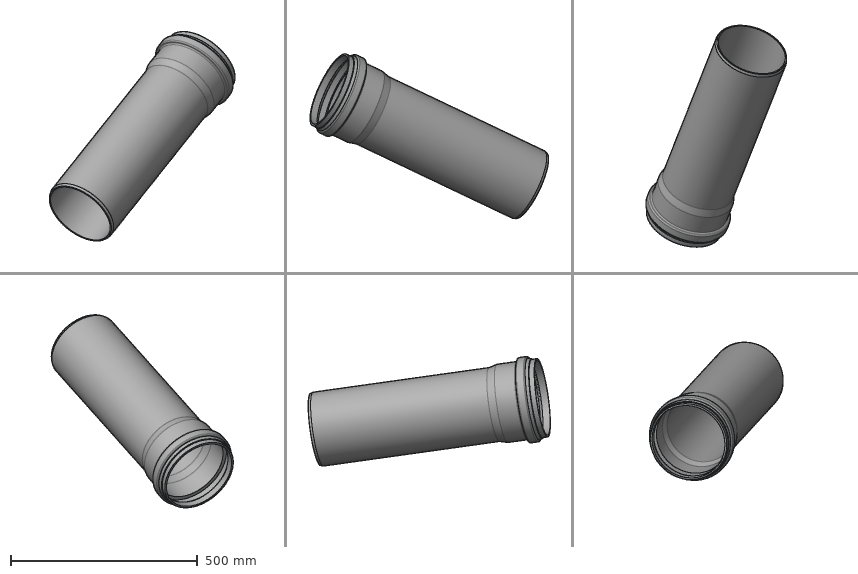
import cadquery as cq

length = 620.0
pipe_radius = 200.0 / 2
bore_radius = 188.0 / 2
socket_radius = 212.0 / 2
socket_bore_radius = 201.5 / 2
ring_radius = 231.0 / 2
groove_radius = 222.0 / 2

chamfer_length = 7.5
chamfer_depth = 2.5

taper_start = length - 131.0
taper_end = length - 108.5
ring_base = length - 50.0
ring_top = length - 23.5
shoulder_end = length - 15.0
lip_start = length - 13.5

ring_round = 4.0
shoulder_radius = 216.0 / 2
shoulder_base_radius = 221.0 / 2
groove_wall = ring_radius - groove_radius
groove_start = ring_base + groove_wall
groove_end = ring_top - groove_wall
groove_taper_end = shoulder_end - groove_wall

arc_near = 1 - 0.5 ** 0.5
arc_far = 0.5 ** 0.5


def outer_body():
    """Solid of revolution bounded by the outside of the pipe and socket."""
    inner_round = ring_radius - ring_round
    neck_radius = socket_radius + ring_round
    neck_start = ring_base - ring_round
    profile = (
        cq.Workplane("XY")
        .moveTo(0, 0)
        .lineTo(pipe_radius - chamfer_depth, 0)
        .lineTo(pipe_radius, chamfer_length)
        .lineTo(pipe_radius, taper_start)
        .lineTo(socket_radius, taper_end)
        .lineTo(socket_radius, neck_start)
        .threePointArc(
            (socket_radius + arc_near * ring_round, neck_start + arc_far * ring_round),
            (neck_radius, ring_base),
        )
        .lineTo(inner_round, ring_base)
        .threePointArc(
            (inner_round + arc_far * ring_round, ring_base + arc_near * ring_round),
            (ring_radius, ring_base + ring_round),
        )
        .lineTo(ring_radius, ring_top - ring_round)
        .threePointArc(
            (inner_round + arc_far * ring_round, ring_top - arc_near * ring_round),
            (inner_round, ring_top),
        )
        .lineTo(shoulder_base_radius, ring_top)
        .lineTo(shoulder_radius, shoulder_end)
        .lineTo(socket_radius, lip_start)
        .lineTo(socket_radius, length)
        .lineTo(0, length)
        .close()
    )
    return profile.revolve(360, (0, 0, 0), (0, 1, 0))


def inner_cavity():
    """Through bore, widened in the socket, with a groove for the seal."""
    profile = (
        cq.Workplane("XY")
        .moveTo(0, 0)
        .lineTo(bore_radius, 0)
        .lineTo(bore_radius, taper_start)
        .lineTo(socket_bore_radius, taper_end)
        .lineTo(socket_bore_radius, groove_start)
        .lineTo(groove_radius, groove_start)
        .lineTo(groove_radius, groove_end)
        .lineTo(socket_bore_radius, groove_taper_end)
        .lineTo(socket_bore_radius, length)
        .lineTo(0, length)
        .close()
    )
    return profile.revolve(360, (0, 0, 0), (0, 1, 0))


result = outer_body().cut(inner_cavity())